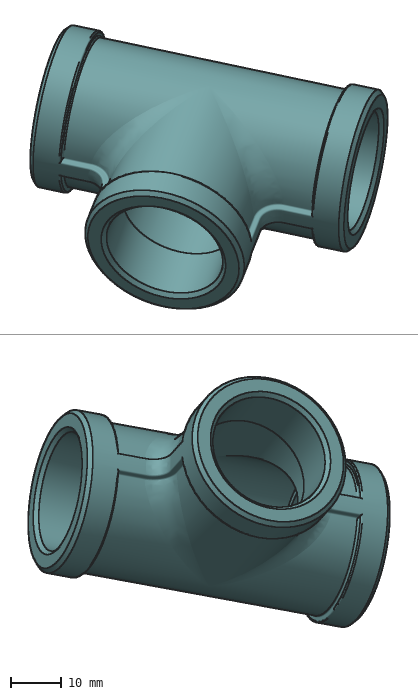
import cadquery as cq

run_length = 65.0
branch_reach = 32.5
collar_diameter = 33.0
collar_length = 6.5
body_diameter = 30.5
mouth_diameter = 24.1
mouth_depth = 12.0
cavity_diameter = 27.1
end_chamfer = 0.85
rib_width = 3.9
body_crotch_radius = 5.0
step_round = 0.3

half_rib = rib_width / 2
step_height = (collar_diameter - body_diameter) / 2
rib_crotch_radius = body_crotch_radius - step_height

edge_tolerance = 0.005

def crossing_cylinders(diameter, inset=0.0):
    """Cylinder along X, joined by one from its middle toward -Y, all ends held back by the inset."""
    run = cq.Workplane("YZ").circle(diameter / 2).extrude(run_length / 2 - inset, both=True)
    branch = cq.Workplane("XZ").circle(diameter / 2).extrude(branch_reach - inset)
    return run.union(branch)

def rounded_tee(diameter, crotch_radius):
    """Crossing cylinders with the crotch between them rounded."""
    reach = diameter / 2
    crotch = cq.selectors.BoxSelector((-reach, -reach, -reach), (reach, -edge_tolerance, reach))
    return crossing_cylinders(diameter).edges(crotch).fillet(crotch_radius)

def raised_region():
    """Space that holds the three end collars and the flat-sided ribs at mid-height."""
    wide = 2 * collar_diameter
    region = cq.Workplane("XY").box(run_length, wide, rib_width)
    for side in (-1, 1):
        run_end = cq.Workplane("XY").box(collar_length, wide, wide)
        region = region.union(run_end.translate((side * (run_length - collar_length) / 2, 0, 0)))
    branch_end = cq.Workplane("XY").box(wide, collar_length, wide)
    return region.union(branch_end.translate((0, collar_length / 2 - branch_reach, 0)))

def step_edges(part, diameter):
    """Edges of the collar and rib walls that lie on the tee surface of the given diameter."""
    half_chord = ((diameter / 2) ** 2 - half_rib**2) ** 0.5

    def on_outline(vertex):
        at_rib_wall = abs(abs(vertex.Z) - half_rib) < edge_tolerance
        nearest_miss = min(abs(abs(vertex.X) - half_chord), abs(abs(vertex.Y) - half_chord))
        return at_rib_wall and nearest_miss < edge_tolerance

    return part.edges().filter(lambda edge: all(on_outline(v) for v in edge.Vertices()))

def outer_body():
    """Solid tee with raised collars and ribs, rounded along the top and foot of their walls."""
    raised = rounded_tee(collar_diameter, rib_crotch_radius).intersect(raised_region())
    body = rounded_tee(body_diameter, body_crotch_radius).union(raised)
    body = step_edges(body, collar_diameter).fillet(step_round)
    return step_edges(body, body_diameter).fillet(step_round)

hollow_tee = (
    outer_body()
    .cut(crossing_cylinders(mouth_diameter))
    .cut(crossing_cylinders(cavity_diameter, mouth_depth))
)

result = hollow_tee.faces("<X or >X or <Y").edges().chamfer(end_chamfer)